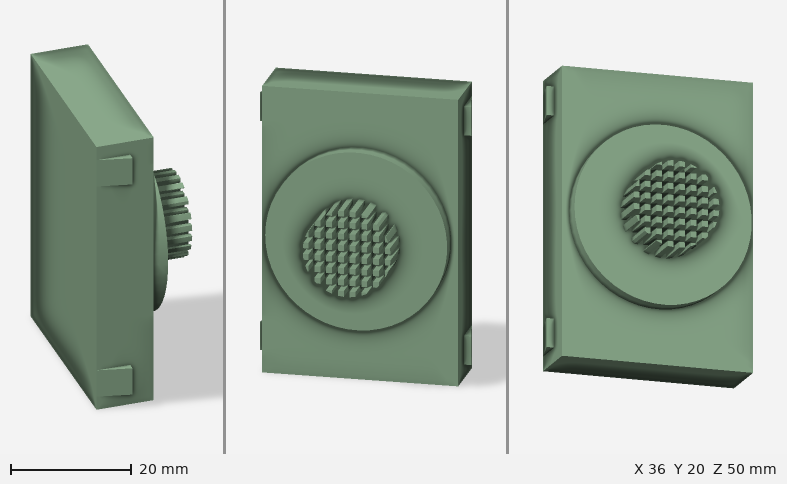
import cadquery as cq

body_width = 33.4
body_depth = 10.05
body_height = 50.0

flange_diameter = 31.0
flange_thickness = 2.95

pin_field_diameter = 15.0
pin_length = 7.0
pins_across = 8
slot_width = pin_field_diameter / (2 * pins_across - 1)
slot_pitch = 2 * slot_width

clip_reach = 1.3
clip_depth = 5.9
clip_height = 5.0
clip_end_gap = 2.5

flange_back = body_depth + flange_thickness


def disc(diameter, thickness, front):
    """Disc about the Y axis, running from front towards +Y."""
    plane = cq.Workplane("XZ", origin=(0, front, 0))
    return plane.circle(diameter / 2).extrude(-thickness)


def pin_field():
    """Square pins; the outermost ones keep the round outline of the cylinder."""
    pins = disc(pin_field_diameter, pin_length, flange_back)
    slot_y = flange_back + pin_length / 2
    for index in range(pins_across - 1):
        offset = (index - (pins_across - 2) / 2) * slot_pitch
        upright_slot = cq.Workplane("XY").box(slot_width, pin_length, pin_field_diameter)
        level_slot = cq.Workplane("XY").box(pin_field_diameter, pin_length, slot_width)
        pins = pins.cut(upright_slot.translate((offset, slot_y, 0)))
        pins = pins.cut(level_slot.translate((0, slot_y, offset)))
    return pins


def clip(side, bottom):
    """Wedge that starts flush at the front face and widens towards the back."""
    root_x = side * body_width / 2
    tip_x = root_x + side * clip_reach
    outline = [(root_x, 0), (tip_x, clip_depth), (root_x, clip_depth)]
    return cq.Workplane("XY", origin=(0, 0, bottom)).polyline(outline).close().extrude(clip_height)


body = cq.Workplane("XY").box(body_width, body_depth, body_height, centered=(True, False, True))
result = body.union(disc(flange_diameter, flange_thickness, body_depth)).union(pin_field())

lower_clip_bottom = -body_height / 2 + clip_end_gap
upper_clip_bottom = body_height / 2 - clip_end_gap - clip_height
for side in (-1, 1):
    for bottom in (lower_clip_bottom, upper_clip_bottom):
        result = result.union(clip(side, bottom))